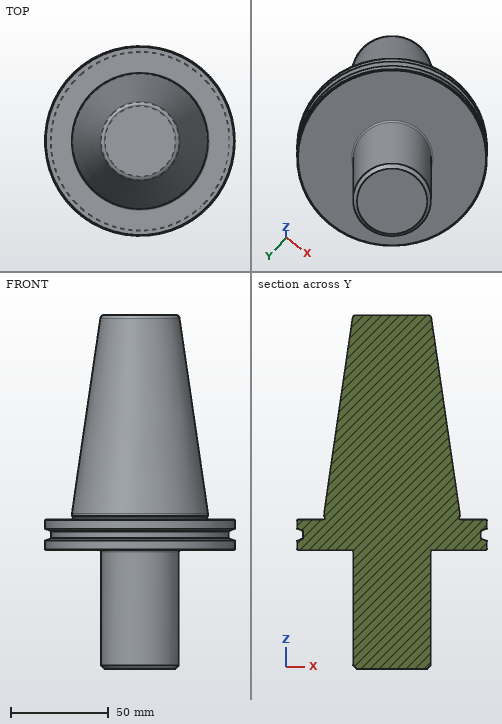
import cadquery as cq
import math

gauge_diameter = 69.85
taper_length = 101.6
taper_ratio = 7 / 24
top_fillet = 2.0

land_length = 1.5
relief_depth = 0.4
relief_fillet = 0.8

flange_diameter = 97.5
flange_top = -3.2
flange_bottom = -19.1
flange_chamfer = 0.6

groove_center = -11.1
groove_floor_diameter = 91.25
groove_floor_width = 3.8
groove_fillet = 0.6
groove_flank_angle = 20

projection = 80.0
shank_diameter = 40.0
shank_chamfer = 2.0
shank_root_fillet = 0.8

gauge_radius = gauge_diameter / 2
taper_top_radius = gauge_radius - taper_length * taper_ratio / 2
flange_radius = flange_diameter / 2
groove_floor_radius = groove_floor_diameter / 2
shank_radius = shank_diameter / 2
shank_bottom = -projection


def make_taper():
    """Tapered shank with a rounded small end."""
    profile = (
        cq.Workplane("XZ")
        .moveTo(0, 0)
        .lineTo(gauge_radius, 0)
        .lineTo(taper_top_radius, taper_length)
        .lineTo(0, taper_length)
        .close()
    )
    taper = profile.revolve(360, (0, 0), (0, 1))
    return taper.faces(">Z").edges().fillet(top_fillet)


def make_neck():
    """Cylindrical land that steps conically inward to a relief above the flange."""
    relief_radius = gauge_radius - relief_depth
    profile = (
        cq.Workplane("XZ")
        .moveTo(0, 0)
        .lineTo(gauge_radius, 0)
        .lineTo(gauge_radius, -land_length)
        .lineTo(relief_radius, -land_length - relief_depth)
        .lineTo(relief_radius, flange_top + relief_fillet)
        .radiusArc((relief_radius + relief_fillet, flange_top), -relief_fillet)
        .lineTo(0, flange_top)
        .close()
    )
    return profile.revolve(360, (0, 0), (0, 1))


def make_flange():
    """Chamfered disc with a V-flanked gripper groove around its rim."""
    disc = (
        cq.Workplane("XY", origin=(0, 0, flange_bottom))
        .circle(flange_radius)
        .extrude(flange_top - flange_bottom)
        .edges()
        .chamfer(flange_chamfer)
    )
    floor_half = groove_floor_width / 2
    groove_depth = flange_radius - groove_floor_radius
    mouth_half = floor_half + groove_depth * math.tan(math.radians(groove_flank_angle))
    groove = (
        cq.Workplane("XZ")
        .moveTo(groove_floor_radius, groove_center - floor_half)
        .lineTo(flange_radius, groove_center - mouth_half)
        .lineTo(flange_radius, groove_center + mouth_half)
        .lineTo(groove_floor_radius, groove_center + floor_half)
        .close()
        .revolve(360, (0, 0), (0, 1))
        .edges(cq.selectors.RadiusNthSelector(0))
        .fillet(groove_fillet)
    )
    return disc.cut(groove)


def make_shank():
    """Plain cylinder below the flange, chamfered at its free end."""
    return (
        cq.Workplane("XY", origin=(0, 0, shank_bottom))
        .circle(shank_radius)
        .extrude(flange_bottom - shank_bottom)
        .faces("<Z")
        .edges()
        .chamfer(shank_chamfer)
    )


def round_shank_root(part):
    """Fillet the inside corner where the shank meets the flange underside."""
    underside = part.faces(cq.selectors.NearestToPointSelector((0, 0, flange_bottom)))
    return underside.edges(cq.selectors.RadiusNthSelector(0)).fillet(shank_root_fillet)


body = make_taper().union(make_neck()).union(make_flange()).union(make_shank())
result = round_shank_root(body)